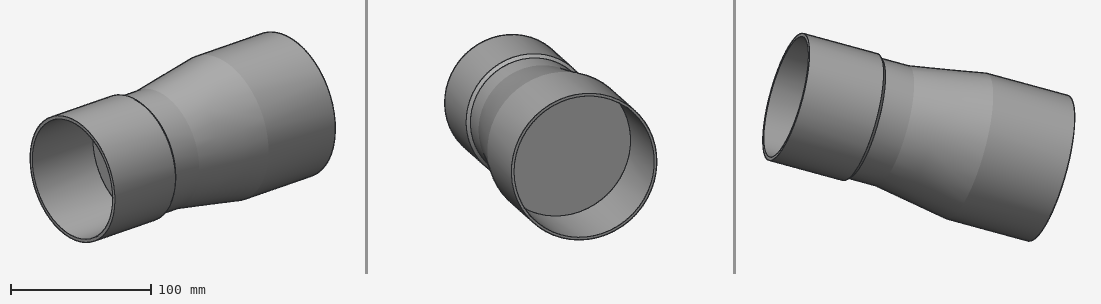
import cadquery as cq

total_length = 200.0

small_outer_diameter = 94.0
small_bore_diameter = 89.0
small_socket_length = 56.5

neck_diameter = 89.0
neck_end = 81.0

large_outer_diameter = 108.0
large_bore_diameter = 104.0
large_socket_length = 62.2

shoulder_length = (small_outer_diameter - neck_diameter) / 2
shoulder_end = small_socket_length + shoulder_length
taper_end = total_length - large_socket_length

small_radius = small_outer_diameter / 2
neck_radius = neck_diameter / 2
large_radius = large_outer_diameter / 2


def make_body():
    """Solid of revolution about Y, from a half profile in the YZ plane."""
    profile = (
        cq.Workplane("YZ")
        .moveTo(0, 0)
        .lineTo(0, small_radius)
        .lineTo(small_socket_length, small_radius)
        .lineTo(shoulder_end, neck_radius)
        .lineTo(neck_end, neck_radius)
        .lineTo(taper_end, large_radius)
        .lineTo(total_length, large_radius)
        .lineTo(total_length, 0)
        .close()
    )
    return profile.revolve(360, (0, 0, 0), (1, 0, 0))


def make_bore(diameter, start, depth):
    """Round cutter along +Y, starting at the given Y position."""
    plane = cq.Plane(origin=(0, start, 0), xDir=(1, 0, 0), normal=(0, 1, 0))
    return cq.Workplane(plane).circle(diameter / 2).extrude(depth)


small_bore = make_bore(small_bore_diameter, 0, small_socket_length)
large_bore = make_bore(large_bore_diameter, taper_end, large_socket_length)

result = make_body().cut(small_bore).cut(large_bore)